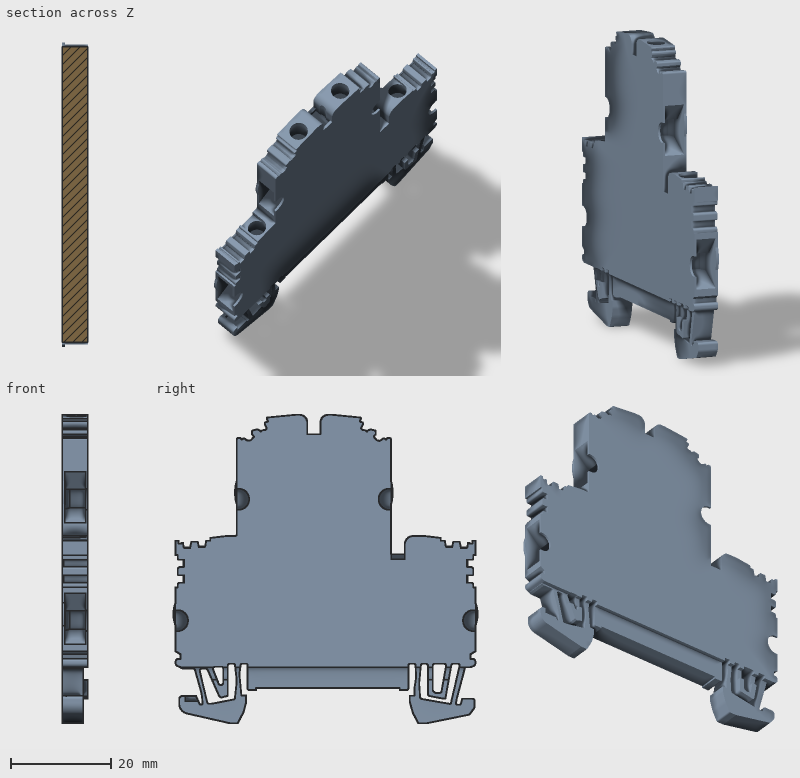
import cadquery as cq
import math


THICKNESS = 5.1
FOOT_THICKNESS = 4.2
BULGE_THICKNESS = 0.6
GROOVE_LIP = 0.35

HALF_LENGTH = 29.9
STEP_Z = 11.2
SLOT_TOP_Z = 11.9
LOWER_TOP_Z = 37.4
LOWER_FLOOR_Z = 33.75
HEAD_CENTER_Y = -2.32
HEAD_HALF = 15.4
HEAD_TOP_Z = 61.55
HEAD_SLOT_HALF = 1.28
HEAD_SLOT_Z = 57.7
HEAD_FOOT_RADIUS = 0.3
LEVEL_PITCH = 24.2

BULGE_BOTTOM_Z = 19.5
BULGE_HEIGHT = 4.6
BULGE_RISE = 0.45
HEAD_BULGE_RISE = 0.35

SCREW_X = 2.83
SCREW_RADIUS = 1.83
LOWER_SCREW_Y = 20.75
HEAD_SCREW_OFFSET = 6.13
SCREW_DEPTH = 5.0
SIDE_SLOT_Z = 36.2

ENTRY_X = (0.55, 4.65)
ENTRY_Z = (15.84, 25.97)
ENTRY_INNER_Z = (18.8, 22.5)
ENTRY_DEPTH = 5.9
ENTRY_ROOF_DEPTH = 3.4
ENTRY_BEND_X = 1.55
ENTRY_BEND_DEPTH = 5.4
NOTCH_Z = 20.5
NOTCH_RADIUS = 2.1
NOTCH_INSET = 0.4

RECESS_DEPTH = 1.0
HEAD_RECESS_X = (0.7, 4.6)
TEST_HOLE_X = 2.65
TEST_HOLE_RADIUS = 1.55
GAP_RECESS_X = (0.7, 1.3)

GROOVE_EXTRA_DEPTH = 0.2
TOP_GROOVES = ((27.6, 1.2, 35.1), (24.65, 1.2, 35.3))
SIDE_GROOVES = ((31.9, 1.4, 28.35), (28.8, 1.4, 28.35))

TONGUE_TOP_Z = 8.7

HOOK_TOP_Z = 5.5
HOOK_RECESS_DEPTH = 1.1
HOOK_RECESS_Y = (-28.0, -25.3)
HOOK_LIP = 0.8

WEB_REAR_Y = 16.55
WEB_FRONT_Y = -15.57
WEB_Z = 7.05
LUG_Z = 6.65
LUG_LENGTH = 1.75
LUG_RADIUS = 0.4

LOWER_END = [
    (15.75, LOWER_FLOOR_Z), (15.75, LOWER_TOP_Z, 1.8), (19.7, LOWER_TOP_Z),
    (23.0, 37.0, 0.2), (23.0, 36.45), (23.8, 36.45, 0.1), (24.0, 35.3), (25.25, 35.3),
    (25.45, 36.25, 0.2), (26.75, 36.25, 0.2), (27.0, 35.1), (28.25, 35.1), (28.4, 36.05, 0.1),
    (28.7, 36.05), (28.8, 35.86), (29.3, 35.86), (29.3, 36.45), (HALF_LENGTH, 36.45),
    (HALF_LENGTH, 33.55), (29.5, 33.55), (29.5, 32.6, 0.3), (28.35, 32.6), (28.35, 31.2),
    (29.5, 31.2, 0.5), (29.5, 29.5, 0.3), (28.35, 29.5), (28.35, 28.1), (29.5, 28.1, 0.5),
    (29.5, 27.15), (HALF_LENGTH, 27.15), (HALF_LENGTH, 14.37), (28.93, 13.8), (28.93, 12.9),
    (HALF_LENGTH, 12.9, 0.6), (HALF_LENGTH, 11.55, 0.7), (28.9, STEP_Z),
]

HEAD_HALF_OUTLINE = [
    (HEAD_SLOT_HALF, HEAD_SLOT_Z), (HEAD_SLOT_HALF, HEAD_TOP_Z, 1.6), (3.7, HEAD_TOP_Z, 1.0),
    (9.4, 61.0, 0.2), (9.4, 60.7), (9.15, 60.2), (9.8, 60.0, 0.2), (9.8, 59.6, 0.2),
    (9.4, 58.85), (9.65, 58.55), (10.3, 58.45), (10.6, 58.2), (10.8, 58.45), (11.3, 58.65, 0.3),
    (12.35, 58.4, 0.3), (12.35, 57.65), (11.95, 57.15), (12.55, 56.5), (13.05, 56.35),
    (13.5, 56.55), (13.95, 56.95, 0.15), (14.4, 56.55), (14.65, 56.95), (HEAD_HALF, 56.95, 0.4),
    (HEAD_HALF, LOWER_FLOOR_Z),
]

REAR_FOOT = [
    (28.9, SLOT_TOP_Z), (28.9, 11.3), (27.85, 11.3, 0.3), (27.4, 9.5, 6.0), (26.2, 5.0, 4.0),
    (25.95, 3.75, 0.3),
    (26.9, 3.75, 0.2), (27.25, 4.95), (29.75, 4.95, 0.5), (29.75, 3.2, 1.0), (28.7, 1.75, 0.5),
    (20.1, 0), (18.5, 0, 0.4), (17.4, 2.1, 3.0), (16.75, 4.4, 1.0), (16.75, 5.55), (17.7, 5.55),
    (17.7, 7.0), (18.05, 9.2, 6.0), (17.9, SLOT_TOP_Z),
]
REAR_CHANNEL = [
    (26.8, SLOT_TOP_Z, 0.3), (25.15, SLOT_TOP_Z, 0.3), (23.9, 4.85, 0.3), (20.4, 5.5, 0.5),
    (20.4, SLOT_TOP_Z, 0.4), (19.05, SLOT_TOP_Z, 0.4), (18.7, 8.0, 5.0), (18.9, 4.95, 0.4),
    (24.95, 3.9, 0.2),
]
REAR_WINDOW = [
    (24.1, SLOT_TOP_Z, 0.4), (21.4, SLOT_TOP_Z, 0.3), (21.4, 6.1, 0.7), (23.05, 6.1, 0.4),
]
FRONT_FOOT = [
    (-16.85, SLOT_TOP_Z), (-17.15, 9.9, 4.0), (-16.75, 5.6), (-15.8, 5.6), (-15.8, 4.2, 2.0),
    (-16.3, 2.3, 3.0), (-17.5, 0, 0.3), (-18.95, 0), (-28.2, 2.1, 2.0), (-29.2, 3.2, 2.0),
    (-29.2, HOOK_TOP_Z, 0.7), (-25.8, HOOK_TOP_Z), (-25.05, 3.8, 0.2), (-24.5, 3.8, 0.2), (-24.7, 5.9, 8.0),
    (-26.1, 10.9, 0.3), (-28.3, 10.9), (-28.9, 11.1), (-28.9, SLOT_TOP_Z),
]
FRONT_CHANNEL = [
    (-18.1, SLOT_TOP_Z, 0.3), (-19.45, SLOT_TOP_Z, 0.3), (-19.45, 5.5, 0.2), (-20.75, 5.15, 0.2),
    (-21.2, 5.4), (-23.6, 10.9, 0.5), (-25.15, 10.9, 0.4), (-23.5, 3.95, 0.3), (-22.7, 3.95),
    (-18.1, 4.85, 0.2), (-17.7, 8.5, 6.0),
]
FRONT_WINDOW = [
    (-20.4, 11.3, 0.3), (-22.6, 11.3, 0.4), (-21.2, 7.7, 0.4), (-20.4, 7.7, 0.4),
]


def mirrored(points):
    """Reflect outline corners about Y = 0, in reverse order."""
    return [(-p[0], *p[1:]) for p in reversed(points)]


def shifted(points, dy):
    """Move outline corners along Y."""
    return [(p[0] + dy, *p[1:]) for p in points]


def corner_arc(before, corner, after):
    """Start, middle and end of the arc that rounds one outline corner."""
    y, z, radius = corner
    into = (before[0] - y, before[1] - z)
    out = (after[0] - y, after[1] - z)
    into_length = math.hypot(*into)
    out_length = math.hypot(*out)
    u = (into[0] / into_length, into[1] / into_length)
    v = (out[0] / out_length, out[1] / out_length)
    half_angle = math.acos(u[0] * v[0] + u[1] * v[1]) / 2
    setback = radius / math.tan(half_angle)
    bisector = (u[0] + v[0], u[1] + v[1])
    scale = radius * (1 / math.sin(half_angle) - 1) / math.hypot(*bisector)
    start = (y + u[0] * setback, z + u[1] * setback)
    middle = (y + bisector[0] * scale, z + bisector[1] * scale)
    end = (y + v[0] * setback, z + v[1] * setback)
    return start, middle, end


def prism(points, x_start, x_end):
    """Extrude a closed YZ outline with rounded corners from x_start to x_end."""
    sketch = None
    for i, corner in enumerate(points):
        if len(corner) == 3:
            following = points[(i + 1) % len(points)]
            start, middle, end = corner_arc(points[i - 1], corner, following)
        else:
            start, middle, end = corner, None, None
        if sketch is None:
            sketch = cq.Workplane("YZ", origin=(x_start, 0, 0)).moveTo(*start)
        else:
            sketch = sketch.lineTo(*start)
        if middle:
            sketch = sketch.threePointArc(middle, end)
    return sketch.close().extrude(x_end - x_start)


def box(x_range, y_range, z_range):
    """Axis-aligned box from three (low, high) ranges."""
    sizes = [high - low for low, high in (x_range, y_range, z_range)]
    corner = (x_range[0], y_range[0], z_range[0])
    return cq.Workplane("XY").box(*sizes, centered=False).translate(corner)


def housing():
    lower = prism(LOWER_END + mirrored(LOWER_END), 0, THICKNESS)
    head_outline = HEAD_HALF_OUTLINE + mirrored(HEAD_HALF_OUTLINE)
    head = prism(shifted(head_outline, HEAD_CENTER_Y), 0, THICKNESS)
    return lower.union(head).union(head_foot_fillet())


def head_foot_fillet():
    """Small concave fillet where the head meets the front lower crest."""
    wall_y = HEAD_CENTER_Y - HEAD_HALF
    side = 2 * HEAD_FOOT_RADIUS
    outline = [
        (wall_y + side, LOWER_TOP_Z - side), (wall_y - side, LOWER_TOP_Z - side),
        (wall_y - side, LOWER_TOP_Z), (wall_y, LOWER_TOP_Z, HEAD_FOOT_RADIUS),
        (wall_y, LOWER_TOP_Z + side), (wall_y + side, LOWER_TOP_Z + side),
    ]
    return prism(outline, 0, THICKNESS)


def web():
    """Thin bottom web with a downward lug at each end."""
    outline = [
        (WEB_REAR_Y, SLOT_TOP_Z), (WEB_REAR_Y, LUG_Z, LUG_RADIUS),
        (WEB_REAR_Y - LUG_LENGTH, LUG_Z), (WEB_REAR_Y - LUG_LENGTH, WEB_Z),
        (WEB_FRONT_Y + LUG_LENGTH, WEB_Z), (WEB_FRONT_Y + LUG_LENGTH, LUG_Z),
        (WEB_FRONT_Y, LUG_Z, LUG_RADIUS), (WEB_FRONT_Y, SLOT_TOP_Z),
    ]
    return prism(outline, 0, FOOT_THICKNESS)


def foot(outline):
    return prism(outline, 0, FOOT_THICKNESS)


def foot_openings():
    """Slots and windows that separate the spring legs of both feet."""
    rear_gap = [
        (WEB_REAR_Y, LUG_Z), (WEB_REAR_Y, SLOT_TOP_Z, 0.3), REAR_FOOT[-1] + (0.2,),
        *REAR_FOOT[-2:-4:-1],
    ]
    front_gap = [
        (WEB_FRONT_Y, LUG_Z), (WEB_FRONT_Y, SLOT_TOP_Z, 0.2), FRONT_FOOT[0] + (0.2,),
        *FRONT_FOOT[1:3],
    ]
    openings = (REAR_CHANNEL, REAR_WINDOW, FRONT_CHANNEL, FRONT_WINDOW, rear_gap, front_gap)
    return [prism(outline, 0, THICKNESS) for outline in openings]


def tongue_end(channel, tip_corners, window):
    """Thickened end of the tongue that a foot channel wraps around."""
    root_start = channel[1][:2]
    root_end = channel[2 + tip_corners][:2]
    outline = [root_start, *channel[2:2 + tip_corners], root_end]
    end_band = box((0, THICKNESS), (-HALF_LENGTH, HALF_LENGTH), (0, TONGUE_TOP_Z))
    return prism(outline, 0, THICKNESS).intersect(end_band).cut(prism(window, 0, THICKNESS))


def hook_recess():
    """Lowered top of the front foot hook, behind its outer rim."""
    z_range = (HOOK_TOP_Z - HOOK_RECESS_DEPTH, HOOK_TOP_Z)
    return box((HOOK_LIP, FOOT_THICKNESS), HOOK_RECESS_Y, z_range)


def bulge(end_y, direction, bottom_z, rise):
    """Shallow arched rib on the flat wall at one end face."""
    top_z = bottom_z + BULGE_HEIGHT
    middle = (end_y + direction * rise, bottom_z + BULGE_HEIGHT / 2)
    inside_y = end_y - direction * rise
    sketch = cq.Workplane("YZ").moveTo(inside_y, bottom_z).lineTo(end_y, bottom_z)
    sketch = sketch.threePointArc(middle, (end_y, top_z)).lineTo(inside_y, top_z)
    return sketch.close().extrude(BULGE_THICKNESS)


def wire_entry(end_y, direction, rise_z):
    """Tapered pocket into an end face, plus the round notch in its far wall."""
    def inward(depth):
        return end_y - direction * depth

    side_outline = [
        (inward(0), ENTRY_Z[0] + rise_z), (inward(ENTRY_DEPTH), ENTRY_INNER_Z[0] + rise_z),
        (inward(ENTRY_DEPTH), ENTRY_INNER_Z[1] + rise_z),
        (inward(ENTRY_ROOF_DEPTH), ENTRY_INNER_Z[1] + rise_z), (inward(0), ENTRY_Z[1] + rise_z),
    ]
    plan = (
        cq.Workplane("XY")
        .moveTo(ENTRY_X[0], inward(0))
        .lineTo(ENTRY_X[1], inward(0))
        .lineTo(ENTRY_X[1], inward(ENTRY_DEPTH))
        .lineTo(ENTRY_BEND_X, inward(ENTRY_DEPTH))
        .lineTo(ENTRY_X[0], inward(ENTRY_BEND_DEPTH))
        .close()
        .extrude(HEAD_TOP_Z)
    )
    pocket = prism(side_outline, *ENTRY_X).intersect(plan)
    notch = (
        cq.Workplane("YZ", origin=(THICKNESS / 2, end_y - direction * NOTCH_INSET, NOTCH_Z + rise_z))
        .circle(NOTCH_RADIUS)
        .extrude(THICKNESS / 2)
    )
    return pocket.union(notch)


def vertical_hole(x, y, radius, floor_z, top_z):
    return cq.Workplane("XY", origin=(x, y, floor_z)).circle(radius).extrude(top_z - floor_z)


def screw_holes():
    tools = []
    for side in (1, -1):
        lower_y = side * LOWER_SCREW_Y
        tools.append(vertical_hole(SCREW_X, lower_y, SCREW_RADIUS, LOWER_TOP_Z - SCREW_DEPTH, LOWER_TOP_Z))
        slot_y = (lower_y - SCREW_RADIUS, lower_y + SCREW_RADIUS)
        tools.append(box((0, SCREW_X), slot_y, (SIDE_SLOT_Z, LOWER_TOP_Z)))
        head_y = HEAD_CENTER_Y + side * HEAD_SCREW_OFFSET
        tools.append(vertical_hole(SCREW_X, head_y, SCREW_RADIUS, HEAD_TOP_Z - SCREW_DEPTH, HEAD_TOP_Z))
    return tools


def slot_recesses():
    """Recessed floors of the head slot and of the gap behind the head."""
    head_floor = HEAD_SLOT_Z - RECESS_DEPTH
    head_y = (HEAD_CENTER_Y - HEAD_SLOT_HALF, HEAD_CENTER_Y + HEAD_SLOT_HALF)
    head_recess = box(HEAD_RECESS_X, head_y, (head_floor, HEAD_SLOT_Z))
    test_hole = vertical_hole(TEST_HOLE_X, HEAD_CENTER_Y, TEST_HOLE_RADIUS, head_floor, HEAD_TOP_Z)
    gap_start = HEAD_CENTER_Y + HEAD_HALF
    gap_recess = (
        cq.Workplane("XZ", origin=(0, gap_start, 0))
        .moveTo(GAP_RECESS_X[0], LOWER_FLOOR_Z)
        .lineTo(GAP_RECESS_X[1], LOWER_FLOOR_Z - RECESS_DEPTH)
        .lineTo(THICKNESS, LOWER_FLOOR_Z - RECESS_DEPTH)
        .lineTo(THICKNESS, LOWER_FLOOR_Z)
        .close()
        .extrude(gap_start - LOWER_END[0][0])
    )
    return [head_recess, test_hole, gap_recess]


def groove_steps():
    """Deepen the grip grooves of the lower housing behind their shallow lip."""
    tools = []
    x_range = (GROOVE_LIP, THICKNESS)
    for center, width, floor in TOP_GROOVES:
        z_range = (floor - GROOVE_EXTRA_DEPTH, floor)
        tools.append(box(x_range, (center - width / 2, center + width / 2), z_range))
    for center, width, floor in SIDE_GROOVES:
        y_range = (floor - GROOVE_EXTRA_DEPTH, floor)
        tools.append(box(x_range, y_range, (center - width / 2, center + width / 2)))
    return tools + [tool.mirror("XZ") for tool in tools]


body = housing().union(web()).union(foot(REAR_FOOT)).union(foot(FRONT_FOOT))
for opening in foot_openings():
    body = body.cut(opening)
body = body.union(tongue_end(REAR_CHANNEL, tip_corners=2, window=REAR_WINDOW))
body = body.union(tongue_end(FRONT_CHANNEL, tip_corners=3, window=FRONT_WINDOW))
body = body.cut(hook_recess())

for direction in (1, -1):
    lower_end = direction * HALF_LENGTH
    head_end = HEAD_CENTER_Y + direction * HEAD_HALF
    body = body.union(bulge(lower_end, direction, BULGE_BOTTOM_Z, BULGE_RISE))
    body = body.union(bulge(head_end, direction, BULGE_BOTTOM_Z + LEVEL_PITCH, HEAD_BULGE_RISE))
    body = body.cut(wire_entry(lower_end, direction, 0))
    body = body.cut(wire_entry(head_end, direction, LEVEL_PITCH))

for tool in screw_holes() + slot_recesses() + groove_steps():
    body = body.cut(tool)

result = body